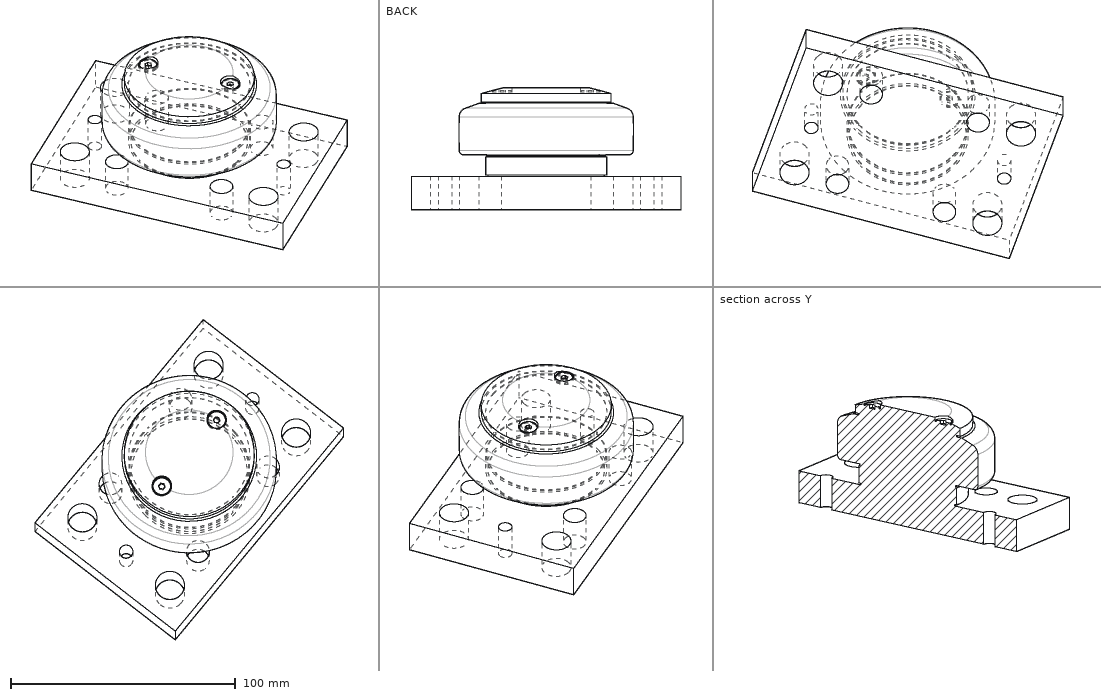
import cadquery as cq
import math

plate_length = 120.0
plate_width = 80.0
plate_height = 15.0
total_height = 54.5

corner_hole_diameter = 13.0
corner_hole_x = 45.0
bolt_row_y = 25.0
inner_hole_diameter = 10.1
inner_hole_x = 25.0
dowel_hole_diameter = 6.0

neck_diameter = 54.0
neck_chamfer = 0.5
relief_diameter = 52.0
relief_height = 0.5
side_gap = 0.5

roller_radius = 38.9
roller_crown = 0.1
roller_bottom = 24.5
roller_top = 47.5
roller_top_radius = 30.0
roller_cone_angle = math.radians(20)
lower_edge_radius = 2.0
upper_edge_radius = 4.2

cap_radius = 58.0 / 2
cap_face_radius = 39.0 / 2
cap_cone_height = 2.6

screw_x = 19.5
recess_diameter = 8.6
recess_depth = 1.9
head_diameter = 7.8
head_drop = 1.2
socket_across_corners = 2.9
socket_depth = 1.5


def mirrored(x, y):
    """Points at all four sign combinations of (x, y)."""
    return [(sx * x, sy * y) for sx in (-1, 1) for sy in (-1, 1)]


def make_plate():
    plate = cq.Workplane("XY").box(plate_length, plate_width, plate_height, centered=(True, True, False))
    hole_groups = [
        (corner_hole_diameter, mirrored(corner_hole_x, bolt_row_y)),
        (inner_hole_diameter, mirrored(inner_hole_x, bolt_row_y)),
        (dowel_hole_diameter, [(-corner_hole_x, 0), (corner_hole_x, 0)]),
    ]
    for diameter, points in hole_groups:
        plate = plate.faces(">Z").workplane(origin=(0, 0, 0)).pushPoints(points).hole(diameter)
    return plate


def revolve_profile(profile):
    """Turn a closed XZ outline about the Z axis."""
    return profile.close().revolve(360, (0, 0, 0), (0, 1, 0))


def disc(diameter, bottom, top):
    """Cylinder on the Z axis between two heights."""
    return cq.Workplane("XY", origin=(0, 0, bottom)).circle(diameter / 2).extrude(top - bottom)


def make_neck():
    """Neck disc between a relief groove on the plate and a slightly narrower spacer."""
    neck_bottom = plate_height + relief_height
    neck_top = roller_bottom - side_gap
    relief = disc(relief_diameter, plate_height, neck_bottom)
    neck = disc(neck_diameter, neck_bottom, neck_top).faces(">Z").edges().chamfer(neck_chamfer)
    spacer = disc(neck_diameter - 2 * neck_chamfer, neck_top, roller_bottom)
    return neck.union(relief).union(spacer)


def make_roller():
    end_radius = roller_radius - roller_crown
    cone_drop = (end_radius - roller_top_radius) * math.tan(roller_cone_angle)
    wall_top = roller_top - cone_drop
    wall_middle = (roller_bottom + wall_top) / 2
    outline = (
        cq.Workplane("XZ")
        .moveTo(0, roller_bottom)
        .lineTo(end_radius, roller_bottom)
        .threePointArc((roller_radius, wall_middle), (end_radius, wall_top))
        .lineTo(roller_top_radius, roller_top)
        .lineTo(0, roller_top)
    )
    roller = revolve_profile(outline)
    roller = roller.faces("<Z").edges().fillet(lower_edge_radius)
    shoulder = roller.edges(cq.selectors.NearestToPointSelector((0, 0, wall_top)))
    return shoulder.fillet(upper_edge_radius)


def make_cap():
    cap_bottom = roller_top + side_gap
    outline = (
        cq.Workplane("XZ")
        .moveTo(0, roller_top)
        .lineTo(neck_diameter / 2, roller_top)
        .lineTo(neck_diameter / 2, cap_bottom)
        .lineTo(cap_radius, cap_bottom)
        .lineTo(cap_radius, total_height - cap_cone_height)
        .lineTo(cap_face_radius, total_height)
        .lineTo(0, total_height)
    )
    return revolve_profile(outline)


def cut_screw(body, x):
    """Sink a recess at x, with a socket screw head standing on its floor."""
    head_top = total_height - head_drop
    floor = cq.Workplane("XY", origin=(x, 0, total_height - recess_depth))
    recess = floor.circle(recess_diameter / 2).extrude(recess_depth)
    head = floor.circle(head_diameter / 2).extrude(recess_depth - head_drop)
    socket = (
        cq.Workplane("XY", origin=(x, 0, head_top))
        .polygon(6, socket_across_corners)
        .extrude(-socket_depth)
    )
    return body.cut(recess).union(head).cut(socket)


result = make_plate().union(make_neck()).union(make_roller()).union(make_cap())
for screw_side in (-1, 1):
    result = cut_screw(result, screw_side * screw_x)